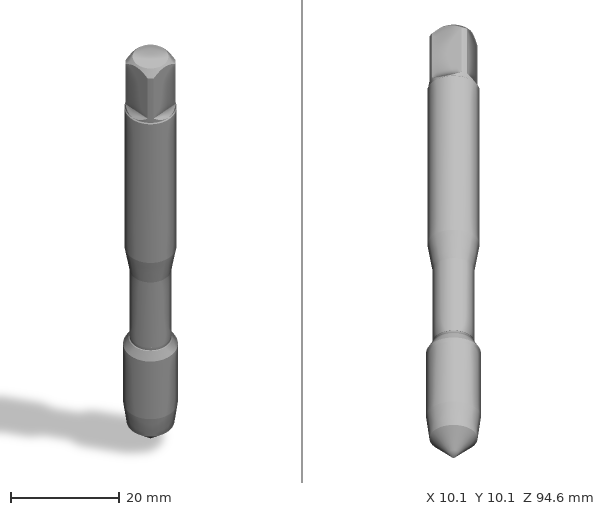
import cadquery as cq

overall_length = 94.6
chamfer_start_z = 9.3
thread_split_z = 22.7
collar_top_z = 23.55
collar_bevel_top_z = 25.3
neck_start_z = 25.9
neck_end_z = 42.1
taper_top_z = 47.8
shank_top_z = 82.1
square_length = 11.3

thread_dia = 10.1
point_dia = 8.9
neck_dia = 7.8
bevel_top_dia = 8.1
land_dia = 7.7
shank_dia = 9.6
square_corner_dia = 9.3
end_face_dia = 6.6

square_width = 7.3
square_bottom_z = overall_length - square_length
shoulder_run = (shank_dia - square_width) / 2
corner_step = (shank_dia - square_corner_dia) / 2


def revolve_profile(points):
    """Revolve an (r, z) outline about the Z axis."""
    return cq.Workplane("XZ").polyline(points).close().revolve(360, (0, 0, 0), (0, 1, 0))


def make_cutting_head():
    """Threaded head with a tapered lead and a 90 degree point."""
    point_radius = point_dia / 2
    point_height = point_radius
    return revolve_profile([
        (0, 0),
        (point_radius, point_height),
        (thread_dia / 2, chamfer_start_z),
        (thread_dia / 2, thread_split_z),
        (0, thread_split_z),
    ])


def make_flat_cutter():
    """Material removed beside one flat of the square, on the +X side, with a sloping floor."""
    inner = square_width / 2
    outer = inner + 2 * shoulder_run
    outline = [
        (inner, square_bottom_z),
        (outer, square_bottom_z - 2 * shoulder_run),
        (outer, overall_length),
        (inner, overall_length),
    ]
    return cq.Workplane("XZ").polyline(outline).close().extrude(shank_dia / 2, both=True)


def make_shank():
    """Collar, neck and shank, ending in a driving square with a beveled end."""
    end_bevel = (square_corner_dia - end_face_dia) / 2
    shank = revolve_profile([
        (0, thread_split_z),
        (thread_dia / 2, thread_split_z),
        (thread_dia / 2, collar_top_z),
        (bevel_top_dia / 2, collar_bevel_top_z),
        (land_dia / 2, collar_bevel_top_z),
        (land_dia / 2, neck_start_z),
        (neck_dia / 2, neck_start_z),
        (neck_dia / 2, neck_end_z),
        (shank_dia / 2, taper_top_z),
        (shank_dia / 2, shank_top_z),
        (square_corner_dia / 2, shank_top_z + corner_step),
        (square_corner_dia / 2, overall_length - end_bevel),
        (end_face_dia / 2, overall_length),
        (0, overall_length),
    ])
    flat_cutter = make_flat_cutter()
    for side in range(4):
        shank = shank.cut(flat_cutter.rotate((0, 0, 0), (0, 0, 1), 90 * side))
    return shank


cutting_head = make_cutting_head()
shank = make_shank()

result = cq.Compound.makeCompound([cutting_head.val(), shank.val()])